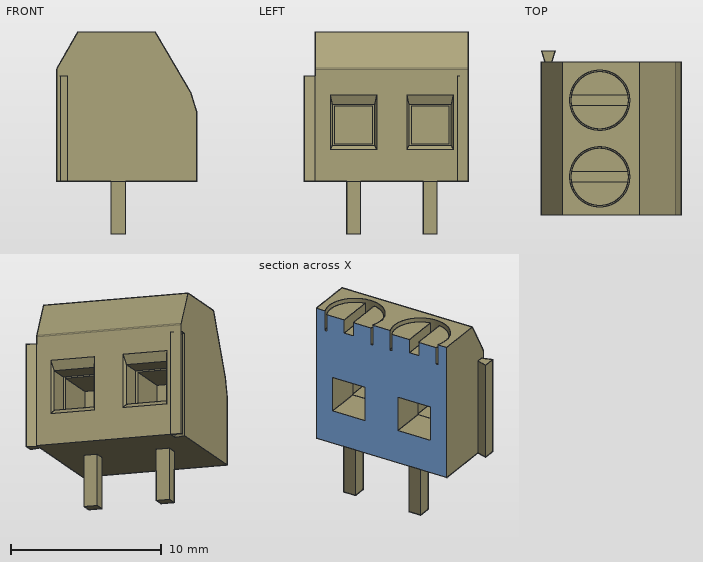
import cadquery as cq

POLES = 2
PITCH = 5.08
HOUSING_LENGTH = 9.29
HOUSING_WIDTH = POLES * PITCH
HOUSING_HEIGHT = 9.92

ENTRY_LIP_X, ENTRY_LIP_START_Z, ENTRY_LIP_END_Z = 0.03, 7.43, 7.53
TOP_FRONT_X = 1.4
TOP_BACK_X = 6.53
BACK_KNEE_X, BACK_KNEE_Z = 8.9, 5.88
BACK_WALL_TOP_Z = 4.62

PIN_LENGTH_X = 0.98
PIN_WIDTH_Y = 0.93
PIN_DROP = 3.5
PIN_X = 4.08

SCREW_X = 3.88
SCREW_HOLE_DIAMETER = 4.0
SCREW_HEAD_DIAMETER = 3.8
SCREW_HOLE_DEPTH = 1.5
HEAD_RECESS = 0.25
DRIVER_SLOT_WIDTH = 0.7
DRIVER_SLOT_DEPTH = 1.0

MOUTH_WIDTH, MOUTH_BOTTOM_Z, MOUTH_TOP_Z = 3.08, 2.1, 5.74
THROAT_WIDTH, THROAT_BOTTOM_Z, THROAT_TOP_Z = 2.8, 2.39, 5.09
MOUTH_DEPTH = 0.3
THROAT_END_X = 2.13
CLAMP_SIZE = 2.5
CLAMP_END_X = 6.0

DOVETAIL_HEIGHT = 7.0
DOVETAIL_DEPTH = 0.74
DOVETAIL_X = 0.475
DOVETAIL_NECK = 0.47
DOVETAIL_END = 0.92


def make_housing():
    """Side outline extruded across all poles."""
    return (
        cq.Workplane("XZ")
        .moveTo(0, 0)
        .lineTo(0, ENTRY_LIP_START_Z)
        .lineTo(ENTRY_LIP_X, ENTRY_LIP_END_Z)
        .lineTo(TOP_FRONT_X, HOUSING_HEIGHT)
        .lineTo(TOP_BACK_X, HOUSING_HEIGHT)
        .lineTo(BACK_KNEE_X, BACK_KNEE_Z)
        .lineTo(HOUSING_LENGTH, BACK_WALL_TOP_Z)
        .lineTo(HOUSING_LENGTH, 0)
        .close()
        .extrude(-HOUSING_WIDTH)
    )


def make_dovetail(neck_y):
    """Upright dovetail bar, narrow at neck_y and widening toward +Y."""
    end_y = neck_y + DOVETAIL_DEPTH
    return (
        cq.Workplane("XY")
        .polyline([
            (DOVETAIL_X - DOVETAIL_NECK / 2, neck_y),
            (DOVETAIL_X + DOVETAIL_NECK / 2, neck_y),
            (DOVETAIL_X + DOVETAIL_END / 2, end_y),
            (DOVETAIL_X - DOVETAIL_END / 2, end_y),
        ])
        .close()
        .extrude(DOVETAIL_HEIGHT)
    )


def make_pin(pole_y):
    """Rectangular solder pin below one pole."""
    return (
        cq.Workplane("XY")
        .center(PIN_X, pole_y)
        .rect(PIN_LENGTH_X, PIN_WIDTH_Y)
        .extrude(-PIN_DROP)
    )


def make_wire_entry(pole_y):
    """Cutter for the mouth, throat and clamp opening of one pole."""
    mouth_z = (MOUTH_BOTTOM_Z + MOUTH_TOP_Z) / 2
    throat_z = (THROAT_BOTTOM_Z + THROAT_TOP_Z) / 2
    throat_height = THROAT_TOP_Z - THROAT_BOTTOM_Z
    mouth = (
        cq.Workplane("YZ")
        .center(pole_y, mouth_z)
        .rect(MOUTH_WIDTH, MOUTH_TOP_Z - MOUTH_BOTTOM_Z)
        .workplane(offset=MOUTH_DEPTH)
        .center(0, throat_z - mouth_z)
        .rect(THROAT_WIDTH, throat_height)
        .loft(ruled=True)
    )
    throat = (
        cq.Workplane("YZ", origin=(MOUTH_DEPTH, pole_y, throat_z))
        .rect(THROAT_WIDTH, throat_height)
        .extrude(THROAT_END_X - MOUTH_DEPTH)
    )
    clamp = (
        cq.Workplane("YZ", origin=(THROAT_END_X, pole_y, throat_z))
        .rect(CLAMP_SIZE, CLAMP_SIZE)
        .extrude(CLAMP_END_X - THROAT_END_X)
    )
    return mouth.union(throat).union(clamp)


def make_screw_recess(pole_y):
    """Cutter that leaves a slotted screw head standing inside its hole."""
    hole_floor_z = HOUSING_HEIGHT - SCREW_HOLE_DEPTH
    head_top_z = HOUSING_HEIGHT - HEAD_RECESS
    hole = (
        cq.Workplane("XY", origin=(SCREW_X, pole_y, hole_floor_z))
        .circle(SCREW_HOLE_DIAMETER / 2)
        .extrude(SCREW_HOLE_DEPTH)
    )
    head = (
        cq.Workplane("XY", origin=(SCREW_X, pole_y, hole_floor_z))
        .circle(SCREW_HEAD_DIAMETER / 2)
        .extrude(head_top_z - hole_floor_z)
    )
    driver_slot = (
        cq.Workplane("XY", origin=(SCREW_X, pole_y, head_top_z))
        .rect(SCREW_HEAD_DIAMETER, DRIVER_SLOT_WIDTH)
        .extrude(-DRIVER_SLOT_DEPTH)
    )
    return hole.cut(head.cut(driver_slot))


result = make_housing()
result = result.cut(make_dovetail(0))
result = result.union(make_dovetail(HOUSING_WIDTH))
for pole in range(POLES):
    pole_center_y = (pole + 0.5) * PITCH
    result = result.union(make_pin(pole_center_y))
    result = result.cut(make_wire_entry(pole_center_y))
    result = result.cut(make_screw_recess(pole_center_y))